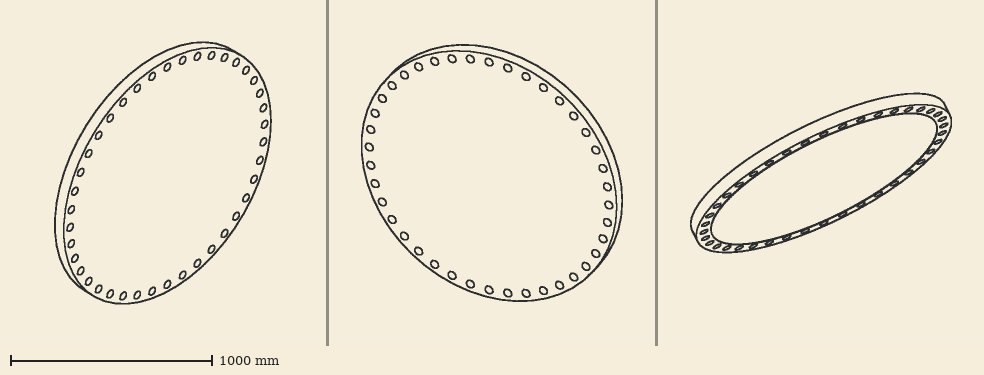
import cadquery as cq

outer_diameter = 1403.0
total_thickness = 69.0
raised_face_diameter = 1243.0
raised_face_height = 3.0

bolt_circle_diameter = 1316.0
bolt_hole_diameter = 42.0
bolt_hole_count = 40

disc_thickness = total_thickness - raised_face_height

raised_face = cq.Workplane("YZ").circle(raised_face_diameter / 2).extrude(total_thickness)
disc = (
    cq.Workplane("YZ", origin=(raised_face_height, 0, 0))
    .circle(outer_diameter / 2)
    .extrude(disc_thickness)
)

bolt_holes = (
    cq.Workplane("YZ")
    .polarArray(bolt_circle_diameter / 2, 0, 360, bolt_hole_count)
    .circle(bolt_hole_diameter / 2)
    .extrude(total_thickness)
)

result = disc.union(raised_face).cut(bolt_holes)